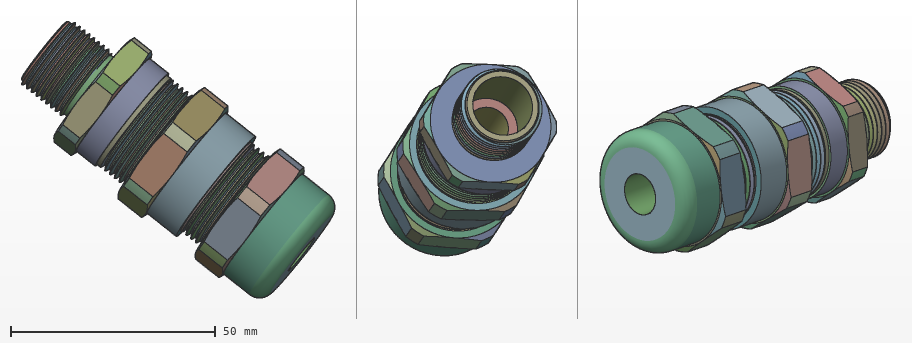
import cadquery as cq
import math


TILT = 28.4

ENTRY_THREAD_START = 0.9
ENTRY_THREAD_END = 13.4
ENTRY_HEX_START = 15.05
ENTRY_HEX_END = 21.5
ENTRY_COLLAR_END = 27.45
ENTRY_RELIEF_END = 28.7
MIDDLE_HEX_START = 36.0
MIDDLE_HEX_END = 44.5
MIDDLE_COLLAR_END = 53.7
MIDDLE_RELIEF_END = 54.2
CAP_HEX_START = 60.0
CAP_HEX_END = 68.4
CAP_END = 80.4

ENTRY_THREAD_DIA = 20.0
ENTRY_CORE_DIA = 18.4
ENTRY_TIP_DIA = 17.7
ENTRY_COLLAR_DIA = 28.9
JOINT_THREAD_DIA = 27.7
JOINT_CORE_DIA = 25.7
SOCKET_MOUTH_DIA = 28.6
BARREL_DIA = 31.2
CAP_FILLET = 3.8

ENTRY_BORE_DIA = 14.9
ENTRY_BORE_DEPTH = 18.8
CABLE_BORE_DIA = 10.4

ENTRY_HEX_FLATS = 30.0
ENTRY_HEX_CORNERS = 33.1
ENTRY_HEX_TURN = 5.8
LARGE_HEX_FLATS = 32.1
LARGE_HEX_CORNERS = 35.1
MIDDLE_HEX_TURN = 3.9
CAP_HEX_TURN = 7.5
HEX_CHAMFER_LENGTH = 0.6

PITCH = 1.5
CREST_WIDTH = PITCH / 8
ROOT_WIDTH = PITCH / 4

ENTRY_THREAD_PHASE = 1.95
ENTRY_JOINT_PHASE = 29.5
MIDDLE_JOINT_PHASE = 54.8


def cylinder(start, end, diameter):
    return cq.Workplane("YZ", origin=(start, 0, 0)).circle(diameter / 2).extrude(end - start)


def hexagon(start, end, flats, corners, turn):
    """Hexagon with rounded corners, chamfered down to the flats at both ends."""
    prism = (
        cq.Workplane("YZ", origin=(start, 0, 0))
        .polygon(6, flats / math.cos(math.pi / 6))
        .extrude(end - start)
        .rotate((0, 0, 0), (1, 0, 0), turn)
    )
    envelope = (
        cq.Workplane("XY")
        .polyline([
            (start, 0),
            (start, flats / 2),
            (start + HEX_CHAMFER_LENGTH, corners / 2),
            (end - HEX_CHAMFER_LENGTH, corners / 2),
            (end, flats / 2),
            (end, 0),
        ])
        .close()
        .revolve(360, (0, 0, 0), (1, 0, 0))
    )
    return prism.intersect(envelope)


def helix_turn(radius, station):
    """One turn of a helix about Z that starts at the given station."""
    return cq.Wire.makeHelix(PITCH, PITCH, radius, cq.Vector(0, 0, station)).Edges()[0]


def step_face(outline):
    """Flat face in the XZ plane between the axis and an outline of (radius, station) points."""
    loop = [(0, outline[0][1]), *outline, (0, outline[-1][1])]
    return cq.Face.makeFromWires(cq.Wire.makePolygon([cq.Vector(r, 0, z) for r, z in loop], close=True))


def thread(start, end, crest_dia, core_dia, phase):
    """Solid threaded rod between two stations; a crest passes local +Z at the phase station."""
    half_crest = CREST_WIDTH / 2
    half_base = (PITCH - ROOT_WIDTH) / 2
    ridge = [
        (core_dia / 2, -half_base),
        (crest_dia / 2, -half_crest),
        (crest_dia / 2, half_crest),
        (core_dia / 2, half_base),
    ]
    turns_before = math.ceil((phase - start) / PITCH) + 1
    turns_after = math.ceil((end - phase) / PITCH) + 1
    outline = [
        (radius, phase + turn * PITCH + offset)
        for turn in range(-turns_before, turns_after)
        for radius, offset in ridge
    ]
    outline.append((core_dia / 2, phase + turns_after * PITCH - half_base))

    faces = [
        cq.Face.makeRuledSurface(helix_turn(*lower), helix_turn(*upper))
        for lower, upper in zip(outline, outline[1:])
    ]
    for radius, station in (outline[0], outline[-1]):
        axis = cq.Edge.makeLine(cq.Vector(0, 0, station), cq.Vector(0, 0, station + PITCH))
        faces.append(cq.Face.makeRuledSurface(helix_turn(radius, station), axis))
    points_per_turn = len(ridge) + 1
    faces.append(step_face(outline[:points_per_turn]))
    faces.append(step_face([(r, z + PITCH) for r, z in outline[-points_per_turn:]]))
    overlong = cq.Solid.makeSolid(cq.Shell.makeShell(faces)).fix()

    slab = cq.Workplane("XY", origin=(0, 0, start)).rect(2 * crest_dia, 2 * crest_dia).extrude(end - start)
    rod = slab.intersect(cq.Workplane(overlong))
    return rod.rotate((0, 0, 0), (0, 0, 1), 180).rotate((0, 0, 0), (0, 1, 0), 90)


def socket(start, end):
    """Clearance hole over the joint thread crests, countersunk at its mouth."""
    radius = JOINT_THREAD_DIA / 2
    mouth_radius = SOCKET_MOUTH_DIA / 2
    countersink = mouth_radius - radius
    return (
        cq.Workplane("XY")
        .polyline([(start, 0), (start, mouth_radius), (start + countersink, radius), (end, radius), (end, 0)])
        .close()
        .revolve(360, (0, 0, 0), (1, 0, 0))
    )


def joined(parts):
    body = parts[0]
    for part in parts[1:]:
        body = body.union(part)
    return body


def make_entry():
    tip_bevel = (ENTRY_CORE_DIA - ENTRY_TIP_DIA) / 2
    body = joined([
        cylinder(0, ENTRY_THREAD_START, ENTRY_CORE_DIA).faces("<X").chamfer(tip_bevel),
        thread(ENTRY_THREAD_START, ENTRY_THREAD_END, ENTRY_THREAD_DIA, ENTRY_CORE_DIA, ENTRY_THREAD_PHASE),
        cylinder(ENTRY_THREAD_END, ENTRY_HEX_START, ENTRY_CORE_DIA),
        hexagon(ENTRY_HEX_START, ENTRY_HEX_END, ENTRY_HEX_FLATS, ENTRY_HEX_CORNERS, ENTRY_HEX_TURN),
        cylinder(ENTRY_HEX_END, ENTRY_COLLAR_END, ENTRY_COLLAR_DIA),
        cylinder(ENTRY_COLLAR_END, ENTRY_RELIEF_END, JOINT_THREAD_DIA),
        thread(ENTRY_RELIEF_END, MIDDLE_HEX_END, JOINT_THREAD_DIA, JOINT_CORE_DIA, ENTRY_JOINT_PHASE),
    ])
    body = body.cut(cylinder(0, ENTRY_BORE_DEPTH, ENTRY_BORE_DIA))
    return body.cut(cylinder(ENTRY_BORE_DEPTH, MIDDLE_HEX_END, CABLE_BORE_DIA))


def make_middle():
    body = joined([
        hexagon(MIDDLE_HEX_START, MIDDLE_HEX_END, LARGE_HEX_FLATS, LARGE_HEX_CORNERS, MIDDLE_HEX_TURN),
        cylinder(MIDDLE_HEX_END, MIDDLE_COLLAR_END, BARREL_DIA),
        cylinder(MIDDLE_COLLAR_END, MIDDLE_RELIEF_END, JOINT_THREAD_DIA),
        thread(MIDDLE_RELIEF_END, CAP_HEX_END, JOINT_THREAD_DIA, JOINT_CORE_DIA, MIDDLE_JOINT_PHASE),
    ])
    body = body.cut(socket(MIDDLE_HEX_START, MIDDLE_HEX_END))
    return body.cut(cylinder(MIDDLE_HEX_END, CAP_HEX_END, CABLE_BORE_DIA))


def make_cap():
    barrel = cylinder(CAP_HEX_END, CAP_END, BARREL_DIA).faces(">X").edges().fillet(CAP_FILLET)
    body = hexagon(CAP_HEX_START, CAP_HEX_END, LARGE_HEX_FLATS, LARGE_HEX_CORNERS, CAP_HEX_TURN)
    body = body.union(barrel)
    body = body.cut(socket(CAP_HEX_START, CAP_HEX_END))
    return body.cut(cylinder(CAP_HEX_END, CAP_END, CABLE_BORE_DIA))


def place(body):
    """Tilt a finished body into position and pick out its one solid."""
    return body.rotate((0, 0, 0), (0, 1, 0), TILT).solids()


entry = place(make_entry())
middle = place(make_middle())
cap = place(make_cap())

result = cq.Compound.makeCompound([entry.val(), middle.val(), cap.val()])